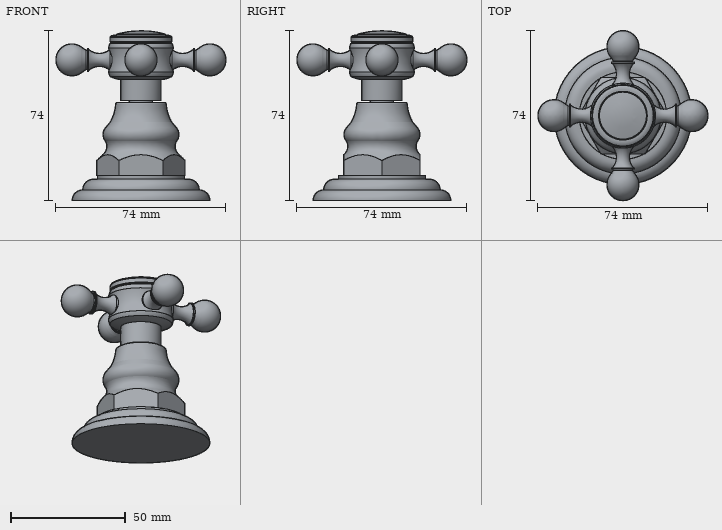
import cadquery as cq
import math


lower_step_z = 4.72
base_top_z = 9.4
collar_top_z = 11.0
nut_top_z = 20.35
body_waist_z = 23.2
body_groove_z = 25.85
body_belly_z = 29.0
body_shoulder_z = 31.55
body_flare_z = 34.2
body_rim_z = 41.95
body_top_z = 42.77
sleeve_bottom_z = 43.5
hub_bottom_z = 52.65
arm_axis_z = 61.22
cap_bottom_z = 69.2
cap_wall_top_z = 71.0
cap_bevel_top_z = 71.5
cap_rim_z = 72.05
dome_step_z = 72.3
dome_edge_z = 72.6
top_z = 73.96

base_radius = 30.0
upper_step_radius = 25.4
base_top_radius = 20.5
collar_radius = 19.0

nut_across_flats = 33.3
nut_corner_radius = nut_across_flats / 2 / math.cos(math.radians(30))
nut_top_radius = 16.3
nut_corner_top_z = 17.45

body_waist_radius = 14.95
body_groove_radius = 15.5
body_belly_radius = 16.55
body_shoulder_radius = 15.6
body_flare_radius = 13.4
body_flare_mid_radius = 11.8
body_flare_mid_z = 37.9
body_rim_radius = 11.05
body_top_radius = 10.05

stem_radius = 5.1
sleeve_radius = 8.8

hub_waist_radius = 13.4
hub_ridge_radius = 14.15
hub_edge_radius = 13.5
hub_band_mid_radius = 13.93
hub_ridge_offset = 5.2
hub_edge_offset = 7.2
hub_top_chamfer = 0.3
hub_bottom_radius = 9.5
hub_underside_mid_radius = 11.7
hub_underside_mid_z = 53.2

neck_radius = 12.8
cap_radius = 13.5
cap_bevel_radius = 13.2
cap_crown_mid_radius = 12.45
cap_crown_mid_z = 71.87
cap_rim_radius = 11.5
dome_base_radius = 10.6
dome_radius = 10.2

ball_radius = 7.0
ball_center = 30.02
ball_neck_end = 25.95
ball_neck_start = 23.85
ball_neck_radius = 4.25
ball_neck_mid = 25.0
ball_neck_mid_radius = 5.0
ring_start = 22.75
ring_end = 23.3
ring_radius = 5.0
arm_waist = 18.1
arm_waist_radius = 2.87
arm_root = 13.4
arm_flare_radius = 4.65
arm_count = 4


def quarter_round_mid(inner_radius, outer_radius, bottom_z, height):
    """Middle point of a convex quarter round that falls from the inner to the outer radius."""
    half = math.sqrt(0.5)
    return inner_radius + (outer_radius - inner_radius) * half, bottom_z + height * half


def turned(profile):
    """Revolve a profile of (radius, z) points, drawn on the XZ plane, about the Z axis."""
    return profile.close().revolve(360, (0, 0, 0), (0, 1, 0))


def make_base():
    lower_mid = quarter_round_mid(upper_step_radius, base_radius, 0, lower_step_z)
    upper_mid = quarter_round_mid(
        base_top_radius, upper_step_radius, lower_step_z, base_top_z - lower_step_z
    )
    profile = (
        cq.Workplane("XZ")
        .lineTo(base_radius, 0)
        .threePointArc(lower_mid, (upper_step_radius, lower_step_z))
        .threePointArc(upper_mid, (base_top_radius, base_top_z))
        .lineTo(collar_radius, base_top_z)
        .lineTo(collar_radius, collar_top_z)
        .lineTo(0, collar_top_z)
    )
    return turned(profile)


def make_nut():
    hexagon = (
        cq.Workplane("XY", origin=(0, 0, collar_top_z))
        .polygon(6, 2 * nut_corner_radius)
        .extrude(nut_top_z - collar_top_z)
    )
    chamfer_envelope = (
        cq.Workplane("XZ")
        .lineTo(nut_corner_radius, 0)
        .lineTo(nut_corner_radius, nut_corner_top_z)
        .lineTo(nut_top_radius, nut_top_z)
        .lineTo(0, nut_top_z)
    )
    return hexagon.intersect(turned(chamfer_envelope))


def make_body():
    rim_mid = quarter_round_mid(
        body_top_radius, body_rim_radius, body_rim_z, body_top_z - body_rim_z
    )
    profile = (
        cq.Workplane("XZ")
        .moveTo(0, nut_top_z)
        .lineTo(nut_top_radius, nut_top_z)
        .threePointArc((body_waist_radius, body_waist_z), (body_groove_radius, body_groove_z))
        .threePointArc((body_belly_radius, body_belly_z), (body_shoulder_radius, body_shoulder_z))
        .lineTo(body_flare_radius, body_flare_z)
        .threePointArc((body_flare_mid_radius, body_flare_mid_z), (body_rim_radius, body_rim_z))
        .threePointArc(rim_mid, (body_top_radius, body_top_z))
        .lineTo(0, body_top_z)
    )
    return turned(profile)


def make_stem():
    profile = (
        cq.Workplane("XZ")
        .moveTo(0, body_top_z)
        .lineTo(stem_radius, body_top_z)
        .lineTo(stem_radius, sleeve_bottom_z)
        .lineTo(sleeve_radius, sleeve_bottom_z)
        .lineTo(sleeve_radius, hub_bottom_z)
        .lineTo(0, hub_bottom_z)
    )
    return turned(profile)


def make_hub():
    band_mid_offset = (hub_ridge_offset + hub_edge_offset) / 2
    lower_edge_z = arm_axis_z - hub_edge_offset
    upper_edge_z = arm_axis_z + hub_edge_offset
    hub_top_z = upper_edge_z + hub_top_chamfer
    profile = (
        cq.Workplane("XZ")
        .moveTo(0, hub_bottom_z)
        .lineTo(hub_bottom_radius, hub_bottom_z)
        .threePointArc((hub_underside_mid_radius, hub_underside_mid_z), (hub_edge_radius, lower_edge_z))
        .threePointArc(
            (hub_band_mid_radius, arm_axis_z - band_mid_offset),
            (hub_ridge_radius, arm_axis_z - hub_ridge_offset),
        )
        .threePointArc(
            (hub_waist_radius, arm_axis_z),
            (hub_ridge_radius, arm_axis_z + hub_ridge_offset),
        )
        .threePointArc(
            (hub_band_mid_radius, arm_axis_z + band_mid_offset),
            (hub_edge_radius, upper_edge_z),
        )
        .lineTo(hub_edge_radius - hub_top_chamfer, hub_top_z)
        .lineTo(neck_radius, hub_top_z)
        .lineTo(neck_radius, cap_bottom_z)
        .lineTo(0, cap_bottom_z)
    )
    return turned(profile)


def make_cap():
    rise = top_z - dome_edge_z
    sphere_radius = (dome_radius**2 + rise**2) / (2 * rise)
    mid_radius = dome_radius / 2
    mid_z = top_z - sphere_radius + math.sqrt(sphere_radius**2 - mid_radius**2)
    profile = (
        cq.Workplane("XZ")
        .moveTo(0, cap_bottom_z)
        .lineTo(cap_radius, cap_bottom_z)
        .lineTo(cap_radius, cap_wall_top_z)
        .lineTo(cap_bevel_radius, cap_bevel_top_z)
        .threePointArc((cap_crown_mid_radius, cap_crown_mid_z), (cap_rim_radius, cap_rim_z))
        .lineTo(dome_base_radius, cap_rim_z)
        .lineTo(dome_base_radius, dome_step_z)
        .lineTo(dome_radius, dome_edge_z)
        .threePointArc((mid_radius, mid_z), (0, top_z))
    )
    return turned(profile)


def make_arm():
    """One arm along +X, turned about its own axis from the hub centre to the ball tip."""
    ball_edge_radius = math.sqrt(ball_radius**2 - (ball_center - ball_neck_end) ** 2)
    reach = ring_start - arm_waist
    sag = arm_flare_radius - arm_waist_radius
    flare_curve = (reach**2 + sag**2) / (2 * sag)
    root_reach = arm_waist - arm_root
    root_radius = arm_waist_radius + flare_curve - math.sqrt(flare_curve**2 - root_reach**2)
    return (
        cq.Workplane("XZ", origin=(0, 0, arm_axis_z))
        .lineTo(0, root_radius)
        .lineTo(arm_root, root_radius)
        .threePointArc((arm_waist, arm_waist_radius), (ring_start, arm_flare_radius))
        .lineTo(ring_start, ring_radius)
        .lineTo(ring_end, ring_radius)
        .lineTo(ring_end, ball_neck_radius)
        .lineTo(ball_neck_start, ball_neck_radius)
        .threePointArc((ball_neck_mid, ball_neck_mid_radius), (ball_neck_end, ball_edge_radius))
        .threePointArc((ball_center, ball_radius), (ball_center + ball_radius, 0))
        .close()
        .revolve(360, (0, 0, 0), (1, 0, 0))
    )


def make_handle():
    handle = make_hub().union(make_cap())
    arm = make_arm()
    for index in range(arm_count):
        angle = index * 360 / arm_count
        handle = handle.union(arm.rotate((0, 0, 0), (0, 0, 1), angle))
    return handle


result = make_base().union(make_nut()).union(make_body()).union(make_stem()).union(make_handle())